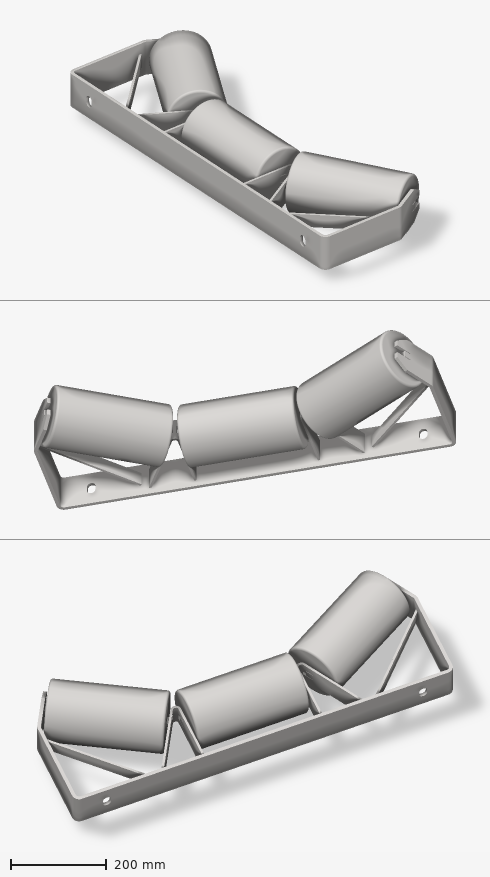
import cadquery as cq
import math

frame_length = 860.0
tilt = 30.0

frame_thickness = 8.0
frame_width = 80.0
frame_bend_radius = 8.0
arm_bend_y = 205.0
arm_tip_y = 296.0
arm_tip_width = 45.0
arm_cut_length = 30.0

bolt_slot_spacing = 715.5
bolt_slot_width = 18.0
bolt_slot_height = 27.0

roller_diameter = 133.0
roller_length = 251.0
roller_edge_radius = 5.0
roller_gap = 5.0
middle_axis_y = 125.5
side_axis_y = 199.5

collar_diameter = 20.0
collar_length = 3.0
shaft_height = 17.0
shaft_width = 15.0
shaft_slot_width = 18.0
shaft_slot_corner_radius = 2.0

bracket_thickness = 5.0
bracket_width = 50.0
bracket_bend_radius = 5.0
bracket_top_y = 153.0

strut_thickness = 5.0
strut_width = 30.0
strut_slope = 46.0
strut_top_y = 192.0

tilt_sin = math.sin(math.radians(tilt))
tilt_cos = math.cos(math.radians(tilt))
half_length = frame_length / 2
half_roller = roller_length / 2
bracket_face_x = half_roller + roller_gap
bracket_reach = roller_gap + bracket_thickness
arm_reach = roller_gap + frame_thickness

arm_distance = half_length * tilt_cos + arm_bend_y * tilt_sin
side_centre_distance = arm_distance - arm_reach - half_roller
leg_distance = side_centre_distance - half_roller - roller_gap


def tilted_face_x(distance, y):
    """X, at height y, of the tilted face at this distance along the left roller's axis."""
    return (y * tilt_sin - distance) / tilt_cos


side_axis_x = tilted_face_x(side_centre_distance, side_axis_y)


def mirrored(body):
    return body.mirror("YZ")


def place_middle(body):
    return body.translate((0, middle_axis_y, 0))


def place_left(body):
    """Move a body made around the X axis to the left side roller's place."""
    return body.rotate((0, 0, 0), (0, 0, 1), -tilt).translate((side_axis_x, side_axis_y, 0))


def prism(points, width):
    """Outline in the XY plane, extruded evenly to both sides of it."""
    return cq.Workplane("XY", origin=(0, 0, -width / 2)).polyline(points).close().extrude(width)


def folded_strip(corners, thickness, bend_radius, width):
    """Strip folded along the outer corners, thickened to the right of their direction."""
    normals = []
    for (x0, y0), (x1, y1) in zip(corners, corners[1:]):
        length = math.hypot(x1 - x0, y1 - y0)
        normals.append(((y1 - y0) / length, (x0 - x1) / length))
    normals_before = normals[:1] + normals
    normals_after = normals + normals[-1:]

    inner_corners = []
    for (x, y), (ax, ay), (bx, by) in zip(corners, normals_before, normals_after):
        reach = thickness / (1 + ax * bx + ay * by)
        inner_corners.append((x + reach * (ax + bx), y + reach * (ay + by)))

    strip = prism(corners + inner_corners[::-1], width)
    for bend_corners, radius in (
        (corners[1:-1], bend_radius + thickness),
        (inner_corners[1:-1], bend_radius),
    ):
        for x, y in bend_corners:
            strip = strip.edges(cq.selectors.NearestToPointSelector((x, y, 0))).fillet(radius)
    return strip


def shaft_slot(reach, length):
    """Cutter for the slot of the shaft end on the -X side, open towards +Y."""
    cutter = cq.Workplane("XY").box(
        reach, length, shaft_slot_width, centered=(False, False, True)
    ).edges("|X and <Y").fillet(shaft_slot_corner_radius)
    return cutter.translate((-half_roller - reach, -shaft_height / 2, 0))


def roller(left_reach, right_reach):
    """Roller along X centred on the origin, its shaft reaching this far past each end."""
    shell = cq.Workplane("YZ", origin=(-half_roller, 0, 0)).circle(roller_diameter / 2)
    shell = shell.extrude(roller_length).faces("<X or >X").edges().fillet(roller_edge_radius)
    collar_start = -half_roller - collar_length
    collars = cq.Workplane("YZ", origin=(collar_start, 0, 0)).circle(collar_diameter / 2)
    collars = collars.extrude(roller_length + 2 * collar_length)
    shaft_length = left_reach + roller_length + right_reach
    shaft = cq.Workplane("XY").box(shaft_length, shaft_height, shaft_width)
    shaft = shaft.translate(((right_reach - left_reach) / 2, 0, 0))
    return shell.union(collars).union(shaft)


middle_roller = place_middle(roller(bracket_reach, bracket_reach))
left_roller = place_left(roller(arm_reach, bracket_reach))
right_roller = mirrored(left_roller)


def arm_corner_cut():
    """Wedge that bevels the upper corner of the left arm's tip."""
    tip_offset = (arm_tip_y - side_axis_y - (half_roller + arm_reach) * tilt_sin) / tilt_cos
    wedge = cq.Workplane("YZ", origin=(-half_roller - arm_reach, 0, 0)).polyline([
        (tip_offset, arm_tip_width / 2),
        (tip_offset, frame_width / 2),
        (tip_offset - arm_cut_length, frame_width / 2),
    ]).close().extrude(arm_reach)
    return place_left(wedge)


def bolt_slots():
    centres = [(-bolt_slot_spacing / 2, 0), (bolt_slot_spacing / 2, 0)]
    slots = cq.Workplane("XZ").pushPoints(centres).slot2D(bolt_slot_height, bolt_slot_width, 90)
    return slots.extrude(-frame_thickness)


def make_frame():
    left_tip_x = tilted_face_x(arm_distance, arm_tip_y)
    corners = [
        (-left_tip_x, arm_tip_y),
        (half_length, arm_bend_y),
        (half_length, 0),
        (-half_length, 0),
        (-half_length, arm_bend_y),
        (left_tip_x, arm_tip_y),
    ]
    strip = folded_strip(corners, frame_thickness, frame_bend_radius, frame_width)
    upper_cut = arm_corner_cut()
    for cutter in (place_left(shaft_slot(arm_reach, arm_tip_y)), upper_cut, upper_cut.mirror("XY")):
        strip = strip.cut(cutter).cut(mirrored(cutter))
    return strip.cut(bolt_slots())


frame = make_frame()


def make_left_bracket():
    foot_y = frame_thickness
    below_foot_y = 0
    corners = [
        (tilted_face_x(leg_distance, below_foot_y), below_foot_y),
        (tilted_face_x(leg_distance, bracket_top_y), bracket_top_y),
        (-bracket_face_x, bracket_top_y),
        (-bracket_face_x, below_foot_y),
    ]
    strip = folded_strip(corners, bracket_thickness, bracket_bend_radius, bracket_width)
    strip = strip.intersect(
        cq.Workplane("XY").box(frame_length, bracket_top_y, bracket_width, centered=(True, False, True))
        .translate((0, foot_y, 0)))
    middle_slot = place_middle(shaft_slot(bracket_reach, bracket_top_y))
    side_slot = place_left(mirrored(shaft_slot(bracket_reach, bracket_top_y)))
    return strip.cut(middle_slot).cut(side_slot)


left_bracket = make_left_bracket()
right_bracket = mirrored(left_bracket)


def make_left_strut():
    slope_sin = math.sin(math.radians(strut_slope))
    slope_cos = math.cos(math.radians(strut_slope))
    wall_x = -half_length + frame_thickness
    lower_y = strut_top_y - strut_thickness / slope_cos
    foot_y = frame_thickness
    foot_x = wall_x + (lower_y - foot_y) * slope_cos / slope_sin
    return prism([
        (wall_x, strut_top_y),
        (wall_x, lower_y),
        (foot_x, foot_y),
        (foot_x + strut_thickness * slope_sin, foot_y + strut_thickness * slope_cos),
    ], strut_width)


left_strut = make_left_strut()
right_strut = mirrored(left_strut)

result = cq.Compound.makeCompound([
    frame.val(),
    left_bracket.val(),
    right_bracket.val(),
    left_strut.val(),
    right_strut.val(),
    middle_roller.val(),
    left_roller.val(),
    right_roller.val(),
])